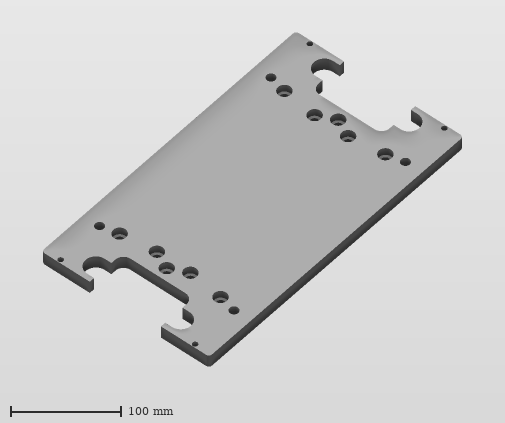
import cadquery as cq

width = 200.0
length = 356.0
thickness = 15.0
corner_radius = 4.0

throat_width = 84.7
throat_depth = 45.5
throat_radius = 9.5
slot_width = 24.2
slot_span = 125.3
slot_inset = 18.0

side_hole_x = 80.0
side_hole_y = 120.0
side_hole_diameter = 10.0
end_hole_diameter = 6.0
end_hole_inset = 3.5

bore_diameter = 9.0
counterbore_diameter = 15.0
counterbore_depth = 9.0
outer_bore_x = 60.0
outer_bore_y = 115.5
inner_bore_x = 20.0
inner_bore_y = 110.5

half_length = length / 2


def four_way(x, y):
    """Mirror a point into all four quadrants."""
    return [(sx * x, sy * y) for sx in (-1, 1) for sy in (-1, 1)]


def make_plate():
    return cq.Workplane("XY").rect(width, length).extrude(thickness).edges("|Z").fillet(corner_radius)


def make_notch(end):
    """Notch cutter for the +Y (end=1) or -Y (end=-1) edge."""
    throat = (
        cq.Workplane("XY")
        .center(0, end * half_length)
        .rect(throat_width, 2 * throat_depth)
        .extrude(thickness)
        .edges("|Z")
        .fillet(throat_radius)
    )
    slot = (
        cq.Workplane("XY")
        .center(0, end * (half_length - slot_inset))
        .slot2D(slot_span, slot_width)
        .extrude(thickness)
    )
    return throat.union(slot)


def drill(body, points, diameter):
    cutter = cq.Workplane("XY").pushPoints(points).circle(diameter / 2).extrude(thickness)
    return body.cut(cutter)


def counterbore(body, points):
    recess = (
        cq.Workplane("XY")
        .workplane(offset=thickness - counterbore_depth)
        .pushPoints(points)
        .circle(counterbore_diameter / 2)
        .extrude(counterbore_depth)
    )
    return drill(body, points, bore_diameter).cut(recess)


result = make_plate()
for end in (-1, 1):
    result = result.cut(make_notch(end))

result = drill(result, four_way(side_hole_x, side_hole_y), side_hole_diameter)
result = drill(result, four_way(side_hole_x, half_length - end_hole_inset), end_hole_diameter)

counterbore_points = (
    four_way(outer_bore_x, outer_bore_y)
    + four_way(inner_bore_x, inner_bore_y)
    + [(0, side_hole_y), (0, -side_hole_y)]
)
result = counterbore(result, counterbore_points)